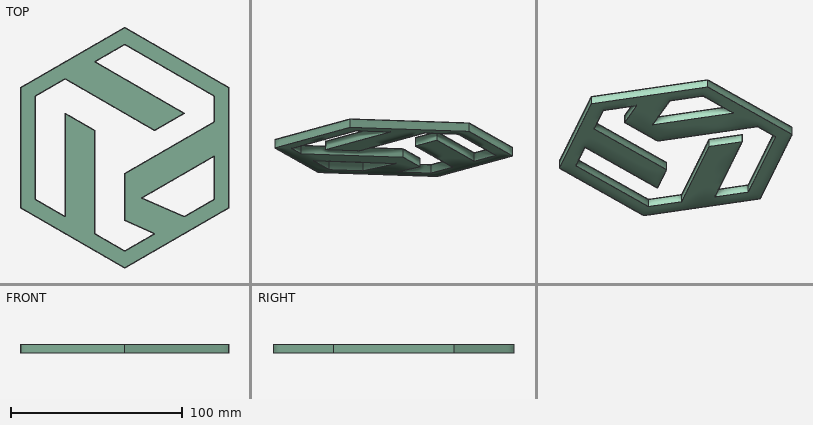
import cadquery as cq
import math

outer_radius = 70.0
inner_radius = 60.0
thickness = 5.0
elbow_outer_y = -42.3
elbow_inner_x = 10.0
hook_start_y = -15.0
hook_width_y = inner_radius / 3

row = inner_radius / 6
column = row * math.sqrt(3)
arm_slope = math.tan(math.radians(30))


def grid_point(columns, rows):
    return (columns * column, rows * row)


def plate(points):
    return cq.Workplane("XY").polyline(points).close().extrude(thickness)


def hexagon(radius):
    """Hexagonal plate with corners on the Y axis."""
    angles = [math.radians(30 + 60 * i) for i in range(6)]
    return plate([(radius * math.cos(a), radius * math.sin(a)) for a in angles])


def arm_point(x, start_y):
    """Point on a 30 degree line that crosses the centre line at start_y."""
    return (x, start_y + x * arm_slope)


frame = hexagon(outer_radius).cut(hexagon(inner_radius))

left_bar = plate([
    grid_point(-2, 2),
    grid_point(-1, 1),
    grid_point(-1, -5),
    grid_point(-2, -4),
])

top_bar = plate([
    grid_point(-2, 4),
    grid_point(-1, 5),
    grid_point(2, 2),
    grid_point(1, 1),
])

opening_side_x = 3 * column
lower_edge_start_y = hook_start_y - hook_width_y
hook = plate([
    arm_point(opening_side_x, hook_start_y),
    arm_point(0, hook_start_y),
    (0, elbow_outer_y),
    grid_point(1, -5),
    grid_point(2, -4),
    arm_point(elbow_inner_x, lower_edge_start_y),
    arm_point(opening_side_x, lower_edge_start_y),
])

result = frame.union(left_bar).union(top_bar).union(hook)